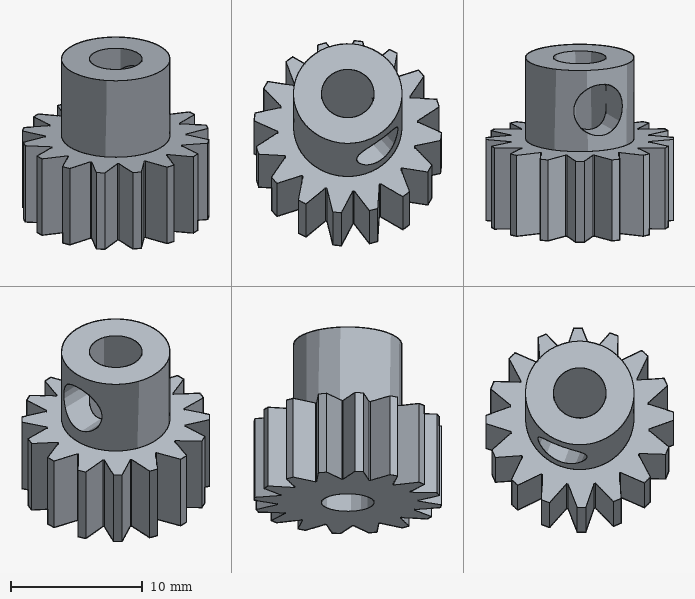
import cadquery as cq
import math

outer_diameter = 14.27
hub_diameter = 8.25
bore_diameter = 4.0
gear_height = 6.35
hub_height = 6.35

tooth_count = 16
tip_width = 0.65
root_radius = 5.34
root_width = 0.1

side_hole_diameter = 4.0
side_hole_height = gear_height + hub_height / 2


def polar_point(radius, angle):
    return (radius * math.cos(angle), radius * math.sin(angle))


def gear_outline():
    """Two tip corners per tooth, then the two floor corners of the following gap."""
    pitch_angle = 2 * math.pi / tooth_count
    tip_radius = math.hypot(outer_diameter / 2, tip_width / 2)
    tip_half_angle = math.atan2(tip_width / 2, outer_diameter / 2)
    root_half_angle = math.asin(root_width / 2 / root_radius)
    points = []
    for tooth in range(tooth_count):
        center_angle = tooth * pitch_angle
        points.append(polar_point(tip_radius, center_angle - tip_half_angle))
        points.append(polar_point(tip_radius, center_angle + tip_half_angle))
        gap_angle = center_angle + pitch_angle / 2
        points.append(polar_point(root_radius, gap_angle - root_half_angle))
        points.append(polar_point(root_radius, gap_angle + root_half_angle))
    return points


gear = cq.Workplane("XY").polyline(gear_outline()).close().extrude(gear_height)

hub = (
    cq.Workplane("XY")
    .workplane(offset=gear_height)
    .circle(hub_diameter / 2)
    .extrude(hub_height)
)

bore = cq.Workplane("XY").circle(bore_diameter / 2).extrude(gear_height + hub_height)

side_hole = (
    cq.Workplane("XZ")
    .center(0, side_hole_height)
    .circle(side_hole_diameter / 2)
    .extrude(-outer_diameter / 2)
)

result = gear.union(hub).cut(bore).cut(side_hole)